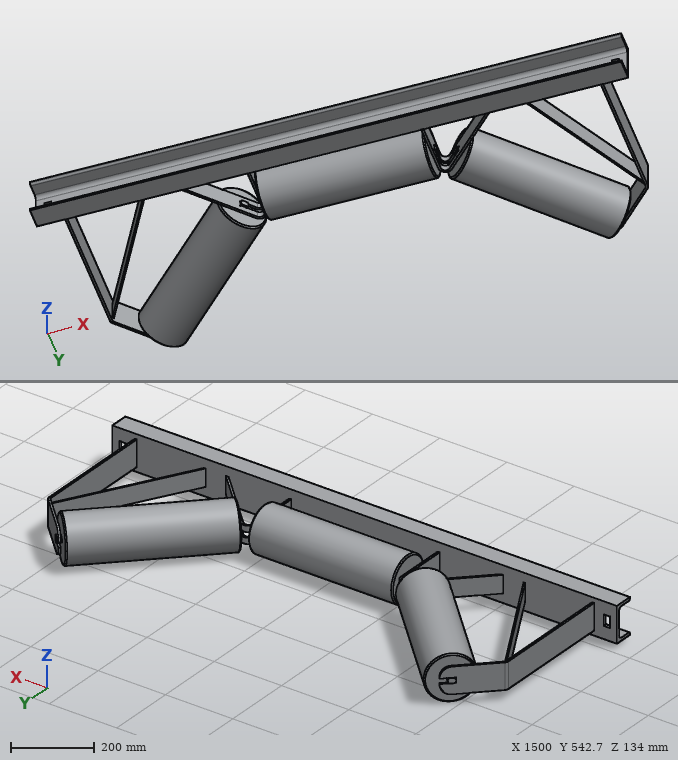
import cadquery as cq
import math


CHANNEL_LENGTH = 1500.0
CHANNEL_WIDTH = 105.0
CHANNEL_DEPTH = 54.0
WEB_THICKNESS = 9.0
FLANGE_THICKNESS = 9.0
ROOT_RADIUS = 10.0
TIP_RADIUS = 5.0
MOUNT_SLOT_WIDTH = 18.0
MOUNT_SLOT_HEIGHT = 32.0
MOUNT_SLOT_X = 720.0

ROLLER_DIAMETER = 134.0
ROLLER_HALF_LENGTH = 215.0
ROLLER_EDGE = 3.8
AXLE_RADIUS = 10.0
AXLE_FLAT_WIDTH = 15.0
AXLE_OVERHANG = 14.0
CENTRE_ROLLER_Y = 170.0
SIDE_ROLLER_X = 428.0
SIDE_ROLLER_Y = 346.0
TROUGH_ANGLE = 45.0

STRAP_THICKNESS = 6.0
INNER_STRAP_WIDTH = 51.0
INNER_GAP = 3.0
INNER_BEND_RADIUS = 18.0
OUTER_STRAP_WIDTH = 76.0
OUTER_GAP = 6.0
OUTER_BEND_RADIUS = 14.0
OUTER_LEG_X = 682.0
TIP_ABOVE_AXLE = 30.0
TIP_CORNER_RADIUS = 30.0
SLOT_REACH = 90.0
SLOT_DEPTH = 30.0

BRACE_THICKNESS = 5.0
BRACE_WIDTH = 51.0
BRACE_FOOT_X = 472.0
BRACE_TOP_Y = 417.0

COS_TILT = math.cos(math.radians(TROUGH_ANGLE))
SIN_TILT = math.sin(math.radians(TROUGH_ANGLE))
TAN_TILT = math.tan(math.radians(TROUGH_ANGLE))


def tilted_point(along, across):
    """XY point given along the +X side roller's axis and square to it, from the roller's middle."""
    x = SIDE_ROLLER_X + along * COS_TILT - across * SIN_TILT
    y = SIDE_ROLLER_Y + along * SIN_TILT + across * COS_TILT
    return (x, y)


def tilted_face_y(along, x):
    """Y at the given X on the plane square to the side roller's axis at distance `along`."""
    return SIDE_ROLLER_Y + (along - (x - SIDE_ROLLER_X) * COS_TILT) / SIN_TILT


def on_side_axis(body):
    """Move a body built about the X axis onto the +X side roller's axis."""
    tilted = body.rotate((0, 0, 0), (0, 0, 1), TROUGH_ANGLE)
    return tilted.translate((SIDE_ROLLER_X, SIDE_ROLLER_Y, 0))


def on_centre_axis(body):
    """Move a body built about the X axis onto the centre roller's axis."""
    return body.translate((0, CENTRE_ROLLER_Y, 0))


def both_sides(body):
    """The +X body and its mirror image on the -X side."""
    return [body, body.mirror("YZ")]


def plate(outline, width):
    """A flat or bent strap: an XY outline extruded evenly to both sides of Z = 0."""
    return cq.Workplane("XY").workplane(offset=-width / 2).polyline(outline).close().extrude(width)


def round_corner(body, corner, radius):
    """Round the edge along Z that stands at an XY corner."""
    edge = cq.selectors.NearestToPointSelector((*corner, 0))
    return body.edges("|Z").edges(edge).fillet(radius)


def make_channel():
    half_width = CHANNEL_WIDTH / 2
    inner_half_width = half_width - FLANGE_THICKNESS
    web_inside = CHANNEL_DEPTH - WEB_THICKNESS
    outline = [
        (0, half_width),
        (CHANNEL_DEPTH, half_width),
        (CHANNEL_DEPTH, -half_width),
        (0, -half_width),
        (0, -inner_half_width),
        (web_inside, -inner_half_width),
        (web_inside, inner_half_width),
        (0, inner_half_width),
    ]
    end_plane = cq.Workplane("YZ", origin=(-CHANNEL_LENGTH / 2, 0, 0))
    channel = end_plane.polyline(outline).close().extrude(CHANNEL_LENGTH)
    for side in (1, -1):
        for y, radius in ((web_inside, ROOT_RADIUS), (0, TIP_RADIUS)):
            corner = cq.selectors.NearestToPointSelector((0, y, side * inner_half_width))
            channel = channel.edges("|X").edges(corner).fillet(radius)
    mount_slots = (
        cq.Workplane("XZ")
        .pushPoints([(-MOUNT_SLOT_X, 0), (MOUNT_SLOT_X, 0)])
        .rect(MOUNT_SLOT_WIDTH, MOUNT_SLOT_HEIGHT)
        .extrude(-CHANNEL_DEPTH)
    )
    return channel.cut(mount_slots)


def make_rod(radius, half_length):
    """Round rod about the X axis, centred on the origin."""
    end_plane = cq.Workplane("YZ", origin=(-half_length, 0, 0))
    return end_plane.circle(radius).extrude(2 * half_length)


def make_roller():
    """Roller about the X axis, with axle ends flattened to fit the strap slots."""
    drum = make_rod(ROLLER_DIAMETER / 2, ROLLER_HALF_LENGTH)
    drum = drum.faces("<X or >X").edges().chamfer(ROLLER_EDGE)
    axle_half_length = ROLLER_HALF_LENGTH + AXLE_OVERHANG
    axle = make_rod(AXLE_RADIUS, axle_half_length)
    flats = cq.Workplane("XY").box(2 * axle_half_length, 2 * AXLE_RADIUS, AXLE_FLAT_WIDTH)
    return drum.union(axle.intersect(flats))


def make_slot_cutter(end):
    """Open-topped axle slot for one roller end: `end` is +1 or -1 along the roller's axis."""
    middle_x = end * (ROLLER_HALF_LENGTH + SLOT_DEPTH / 2)
    middle_y = SLOT_REACH / 2 - AXLE_RADIUS
    slot = cq.Workplane("XY").box(SLOT_DEPTH, SLOT_REACH, AXLE_FLAT_WIDTH)
    return slot.translate((middle_x, middle_y, 0))


def make_inner_bracket():
    """Strap up beside the centre roller, folded over a rounded peak and down under the side roller."""
    face_x = ROLLER_HALF_LENGTH + INNER_GAP
    back_x = face_x + STRAP_THICKNESS
    face_along = -face_x
    back_along = face_along - STRAP_THICKNESS
    peak = (face_x, tilted_face_y(face_along, face_x))
    under_peak = (back_x, tilted_face_y(back_along, back_x))
    foot_back_x = under_peak[0] + (under_peak[1] - CHANNEL_DEPTH) * TAN_TILT
    foot_face_x = peak[0] + (peak[1] - CHANNEL_DEPTH) * TAN_TILT
    outline = [
        (face_x, CHANNEL_DEPTH),
        peak,
        (foot_face_x, CHANNEL_DEPTH),
        (foot_back_x, CHANNEL_DEPTH),
        under_peak,
        (back_x, CHANNEL_DEPTH),
    ]
    bracket = plate(outline, INNER_STRAP_WIDTH)
    bracket = round_corner(bracket, peak, INNER_BEND_RADIUS)
    bracket = round_corner(bracket, under_peak, INNER_BEND_RADIUS - STRAP_THICKNESS)
    bracket = bracket.cut(on_centre_axis(make_slot_cutter(1)))
    return bracket.cut(on_side_axis(make_slot_cutter(-1)))


def make_outer_bracket():
    """Upright strap bent inwards to carry the outer end of the side roller."""
    face_along = ROLLER_HALF_LENGTH + OUTER_GAP
    back_along = face_along + STRAP_THICKNESS
    inside_x = OUTER_LEG_X - STRAP_THICKNESS
    outer_bend = (OUTER_LEG_X, tilted_face_y(back_along, OUTER_LEG_X))
    inner_bend = (inside_x, tilted_face_y(face_along, inside_x))
    outline = [
        (OUTER_LEG_X, CHANNEL_DEPTH),
        outer_bend,
        tilted_point(back_along, TIP_ABOVE_AXLE),
        tilted_point(face_along, TIP_ABOVE_AXLE),
        inner_bend,
        (inside_x, CHANNEL_DEPTH),
    ]
    bracket = plate(outline, OUTER_STRAP_WIDTH)
    bracket = round_corner(bracket, outer_bend, OUTER_BEND_RADIUS)
    bracket = round_corner(bracket, inner_bend, OUTER_BEND_RADIUS - STRAP_THICKNESS)
    for side in (1, -1):
        tip = tilted_point((face_along + back_along) / 2, TIP_ABOVE_AXLE)
        corner = cq.selectors.NearestToPointSelector((*tip, side * OUTER_STRAP_WIDTH / 2))
        bracket = bracket.edges(corner).fillet(TIP_CORNER_RADIUS)
    return bracket.cut(on_side_axis(make_slot_cutter(1)))


def make_brace(bracket):
    """Flat diagonal strap from the channel, trimmed to meet the outer bracket at its bend."""
    top_x = OUTER_LEG_X - STRAP_THICKNESS
    run = top_x - BRACE_FOOT_X
    rise = BRACE_TOP_Y - CHANNEL_DEPTH
    slant = math.hypot(run, rise)
    foot_width = BRACE_THICKNESS * slant / rise
    top_height = BRACE_THICKNESS * slant / run
    outline = [
        (BRACE_FOOT_X, CHANNEL_DEPTH),
        (BRACE_FOOT_X + foot_width, CHANNEL_DEPTH),
        (top_x, BRACE_TOP_Y - top_height),
        (top_x, BRACE_TOP_Y),
    ]
    return plate(outline, BRACE_WIDTH).cut(bracket)


channel = make_channel()
centre_roller = on_centre_axis(make_roller())
side_rollers = both_sides(on_side_axis(make_roller()))
inner_brackets = both_sides(make_inner_bracket())
outer_bracket = make_outer_bracket()
outer_brackets = both_sides(outer_bracket)
braces = both_sides(make_brace(outer_bracket))

bodies = [channel, centre_roller, *side_rollers, *inner_brackets, *outer_brackets, *braces]
result = cq.Compound.makeCompound([body.solids().val() for body in bodies])